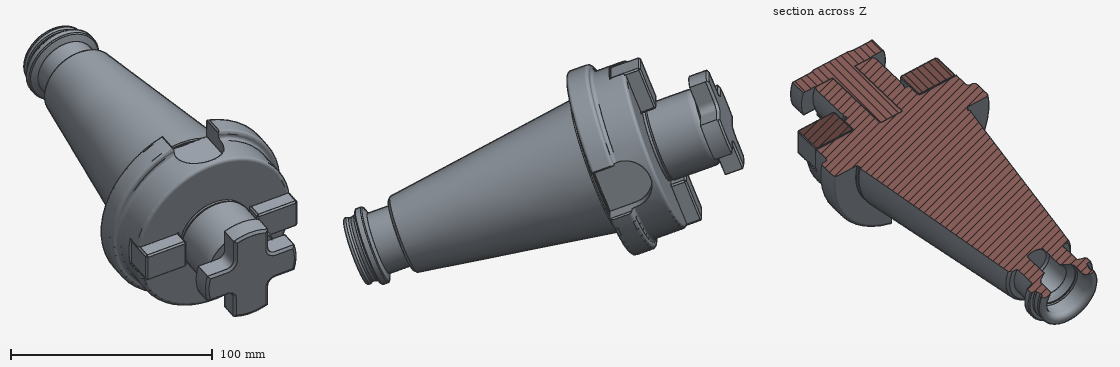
import cadquery as cq
import math


tail_radius = 35.0 / 2
tail_fillet = 1.0
tail_rim_end = 1.5
tail_groove_radius = 33.7 / 2
tail_groove_start = 2.8
tail_groove_end = 4.0
tail_cone_end = 5.7
collar_start = 6.9
collar_radius = 40.0 / 2
collar_chamfer = 0.5
collar_end = 10.8
neck_start = 12.2
neck_radius = 31.9 / 2

taper_start = 24.5
taper_chamfer = 1.4
gauge_plane = 127.5
gauge_radius = 69.9 / 2
taper_slope = 7 / 24 / 2
relief_depth = 0.5
relief_flank = 0.5
relief_end = 129.5

flange_start = 130.0
flange_radius = 97.0 / 2
flange_fillet = 1.8
flange_end = 141.9
root_fillet = 1.8
body_radius = 88.2 / 2
body_end = 159.6
body_fillet = 1.8

slot_width = 25.4
slot_floor = 70.7 / 2
slot_end = 156.5
slot_edge_chamfer = 0.8

pilot_radius = 40.0 / 2
pilot_relief_radius = 39.0 / 2
pilot_relief_end = 161.0
pilot_start = 162.0
pilot_land_end = 183.8
pilot_chamfer_start = 185.0
pilot_end = 186.8
pilot_step = 0.2
pilot_chamfer = 0.8

mouth_radius = 30.7 / 2
bore_radius = 25.2 / 2
bore_end = 10.0
thread_lead = 0.5
thread_end = 11.2
cone_start_radius = bore_radius - thread_lead
cone_step_radius = 20.9 / 2
cone_step_end = 12.5
inner_bore_radius = 17.7 / 2
cone_end = 14.4
bore_bottom_radius = 15.4 / 2
bore_depth = 29.5

key_width = 16.0
key_start = 151.3
key_end = 167.5
key_inner = 20.3
key_outer = 86.4 / 2
key_chamfer = 0.89

head_radius = 52.0 / 2
head_end = 196.8
head_chamfer_length = 1.5
head_chamfer_depth = 1.0
side_lobe_width = 16.0
upright_lobe_width = 19.5
lobe_root_radius = 4.1
shank_radius = 20.0 / 2
shank_length = 39.4


def taper_radius(x):
    return gauge_radius - (gauge_plane - x) * taper_slope


def revolve_about_x(profile):
    """Turn a profile drawn in the XZ plane (Z = radius) about the X axis."""
    return profile.close().revolve(360, (0, 0, 0), (1, 0, 0))


def turned_blank():
    taper_edge = taper_start + taper_chamfer
    relief_radius = gauge_radius - relief_depth
    profile = (
        cq.Workplane("XZ")
        .lineTo(0, tail_radius - tail_fillet)
        .radiusArc((tail_fillet, tail_radius), tail_fillet)
        .lineTo(tail_rim_end, tail_radius)
        .lineTo(tail_groove_start, tail_groove_radius)
        .lineTo(tail_groove_end, tail_groove_radius)
        .lineTo(tail_cone_end, tail_radius)
        .lineTo(collar_start, tail_radius)
        .lineTo(collar_start, collar_radius - collar_chamfer)
        .lineTo(collar_start + collar_chamfer, collar_radius)
        .lineTo(collar_end - collar_chamfer, collar_radius)
        .lineTo(collar_end, collar_radius - collar_chamfer)
        .lineTo(neck_start, neck_radius)
        .lineTo(taper_start, neck_radius)
        .lineTo(taper_start, taper_radius(taper_edge) - taper_chamfer)
        .lineTo(taper_edge, taper_radius(taper_edge))
        .lineTo(gauge_plane, gauge_radius)
        .lineTo(gauge_plane + relief_flank, relief_radius)
        .lineTo(relief_end - relief_flank, relief_radius)
        .lineTo(relief_end, gauge_radius)
        .lineTo(flange_start, gauge_radius)
        .lineTo(flange_start, flange_radius - flange_fillet)
        .radiusArc((flange_start + flange_fillet, flange_radius), flange_fillet)
        .lineTo(flange_end - flange_fillet, flange_radius)
        .radiusArc((flange_end, flange_radius - flange_fillet), flange_fillet)
        .lineTo(flange_end, body_radius + root_fillet)
        .radiusArc((flange_end + root_fillet, body_radius), -root_fillet)
        .lineTo(body_end - body_fillet, body_radius)
        .radiusArc((body_end, body_radius - body_fillet), body_fillet)
        .lineTo(body_end, pilot_relief_radius)
        .lineTo(pilot_relief_end, pilot_relief_radius)
        .lineTo(pilot_start, pilot_radius)
        .lineTo(pilot_land_end, pilot_radius)
        .lineTo(pilot_chamfer_start, pilot_radius - pilot_step)
        .lineTo(pilot_end, pilot_radius - pilot_step - pilot_chamfer)
        .lineTo(pilot_end, 0)
    )
    return revolve_about_x(profile)


def drawbar_bore():
    mouth_round = mouth_radius - bore_radius
    bottom_lead = inner_bore_radius - bore_bottom_radius
    profile = (
        cq.Workplane("XZ")
        .lineTo(0, mouth_radius)
        .radiusArc((mouth_round, bore_radius), -mouth_round)
        .lineTo(bore_end, bore_radius)
        .lineTo(bore_end + thread_lead, cone_start_radius)
        .lineTo(thread_end, cone_start_radius)
        .lineTo(cone_step_end, cone_step_radius)
        .lineTo(cone_end, inner_bore_radius)
        .lineTo(bore_depth - bottom_lead, inner_bore_radius)
        .lineTo(bore_depth, bore_bottom_radius)
        .lineTo(bore_depth, 0)
    )
    return revolve_about_x(profile)


def driving_slot():
    """Round-ended slot with its flange edges bevelled, for the top of the flange."""
    half_width = slot_width / 2
    height = flange_radius - slot_floor
    arc_centre = slot_end - half_width
    slot = (
        cq.Workplane("XY", origin=(0, 0, slot_floor))
        .moveTo(flange_start, -half_width)
        .lineTo(arc_centre, -half_width)
        .threePointArc((slot_end, 0), (arc_centre, half_width))
        .lineTo(flange_start, half_width)
        .close()
        .extrude(height)
    )
    bevel_width = half_width + slot_edge_chamfer
    bevel_height = math.sqrt(flange_radius**2 - bevel_width**2)
    rise = flange_radius - bevel_height
    bevel = (
        cq.Workplane("YZ", origin=(flange_start, 0, 0))
        .moveTo(-half_width, bevel_height - slot_edge_chamfer)
        .lineTo(half_width, bevel_height - slot_edge_chamfer)
        .lineTo(bevel_width + rise, flange_radius)
        .lineTo(-bevel_width - rise, flange_radius)
        .close()
        .extrude(flange_end - flange_start)
    )
    return slot.union(bevel)


def side_block(x_end, outer):
    """Block as wide as a drive key, on the -Y side, from the seat's back wall and floor outwards."""
    corner = (key_start, -outer, -key_width / 2)
    return (
        cq.Workplane("XY")
        .box(x_end - key_start, outer - key_inner, key_width, centered=False)
        .translate(corner)
    )


def key_seat():
    """Open-ended seat on the -Y side that takes one drive key."""
    return side_block(body_end, body_radius)


def screw_shank():
    """Cylinder of the clamping screw's shank, which fills its hole in the pilot."""
    shank_plane = cq.Workplane("YZ", origin=(pilot_end - shank_length, 0, 0))
    return shank_plane.circle(shank_radius).extrude(shank_length)


def make_holder():
    holder = turned_blank().cut(drawbar_bore())
    for angle in (0, 180):
        holder = holder.cut(driving_slot().rotate((0, 0, 0), (1, 0, 0), angle))
        holder = holder.cut(key_seat().rotate((0, 0, 0), (1, 0, 0), angle))
    return holder.cut(screw_shank())


def make_drive_key(angle):
    """Bevelled block on the -Y side, turned about X to its seat."""
    key = side_block(key_end, key_outer)
    return key.edges().chamfer(key_chamfer).rotate((0, 0, 0), (1, 0, 0), angle)


def make_clamp_screw():
    """Screw with a cross-shaped head and a plain shank."""
    head_thickness = head_end - pilot_end
    face = cq.Workplane("YZ", origin=(pilot_end, 0, 0))
    side_lobes = face.rect(2 * head_radius, side_lobe_width).extrude(head_thickness)
    upright_lobes = face.rect(upright_lobe_width, 2 * head_radius).extrude(head_thickness)
    inner_corners = cq.selectors.BoxSelector(
        (pilot_end, -upright_lobe_width, -side_lobe_width),
        (head_end, upright_lobe_width, side_lobe_width),
    )
    cross = side_lobes.union(upright_lobes).edges("|X").edges(inner_corners).fillet(lobe_root_radius)
    disc = face.circle(head_radius).extrude(head_thickness)
    head = cross.intersect(disc).faces(">X").chamfer(head_chamfer_length, head_chamfer_depth)
    return head.union(screw_shank())


holder = make_holder()
drive_keys = [make_drive_key(angle) for angle in (0, 180)]
clamp_screw = make_clamp_screw()

result = cq.Compound.makeCompound([holder.val(), *[key.val() for key in drive_keys], clamp_screw.val()])